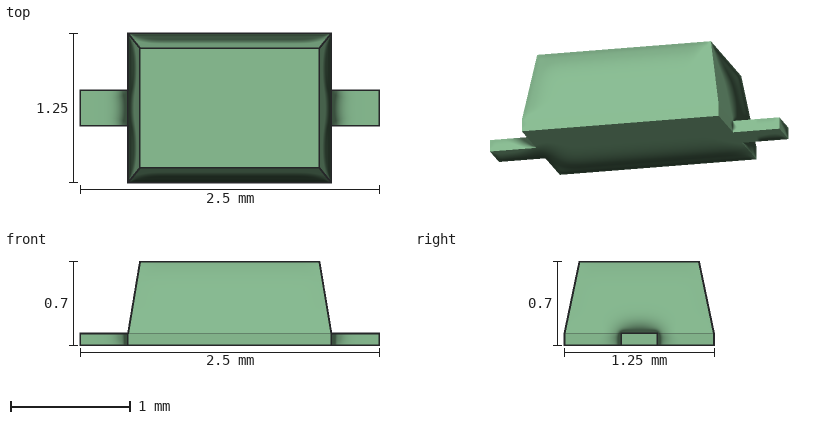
import cadquery as cq

overall_length = 2.5
lead_width = 0.3
lead_thickness = 0.1
housing_length = 1.7
housing_width = 1.25
housing_height = 0.7
base_height = lead_thickness
top_length = 1.5
top_width = 1.0


def make_lead_strip():
    """Flat strip crossing the underside, with both ends exposed as leads."""
    return cq.Workplane("XY").box(
        overall_length, lead_width, lead_thickness, centered=(True, True, False)
    )


def make_housing(lead_strip):
    """Straight-sided base under a tapered cap, with a groove that fits the strip."""
    base = cq.Workplane("XY").box(
        housing_length, housing_width, base_height, centered=(True, True, False)
    )
    cap = (
        cq.Workplane("XY", origin=(0, 0, base_height))
        .rect(housing_length, housing_width)
        .workplane(offset=housing_height - base_height)
        .rect(top_length, top_width)
        .loft(ruled=True)
    )
    return base.union(cap).cut(lead_strip)


lead_strip = make_lead_strip()
housing = make_housing(lead_strip)

result = cq.Compound.makeCompound([housing.val(), lead_strip.val()])